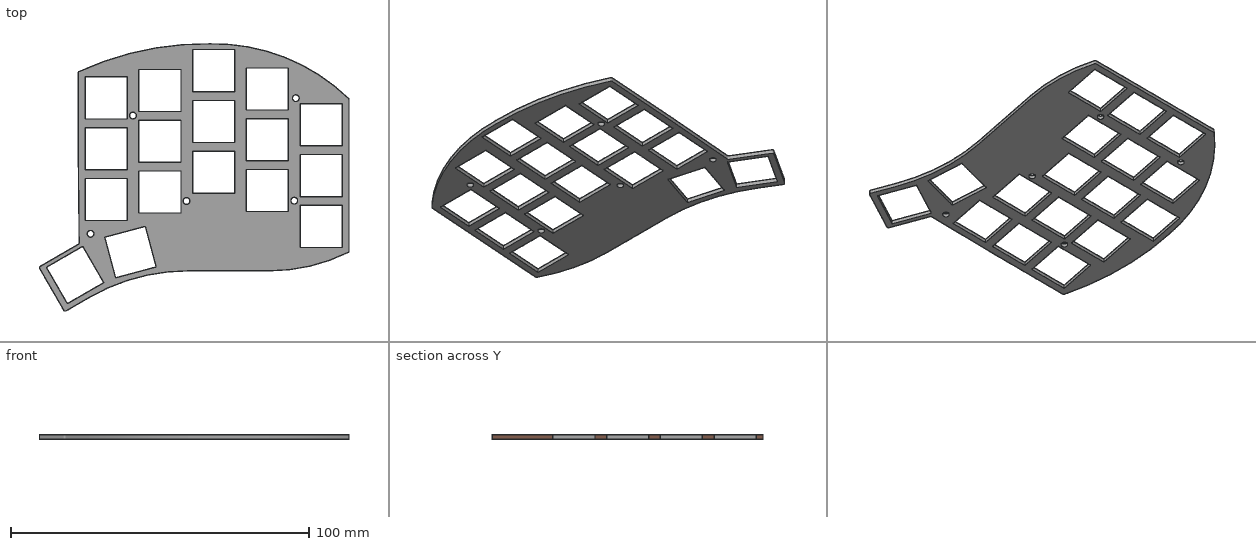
import cadquery as cq
import math

width = 103.8
depth = 89.6
thickness = 1.6

left_top = (13.0, 80.2)
left_bend = (13.0, 51.4)
left_bottom = (13.3, 22.6)
crown = (57.1, depth)
right_top_y = 71.2
right_bottom_y = 19.8
upper_left_radius = 101.2
upper_right_radius = 65.0

lower_flat_y = 13.5
lower_flat_start_x = 49.8
lower_flat_end_x = 77.0
lower_left_radius = 66.0
lower_right_radius = 59.3

thumb_tilt = 30.0
thumb_edge_length = 17.3
thumb_corner_radius = 0.6
small_corner_radius = 0.5

key_size = 14.0
key_pitch = 17.0
rows = (-1, 0, 1)
column_centers = [(22.4, 54.5), (40.4, 57.0), (58.4, 63.6), (76.4, 57.5), (94.4, 45.4)]
thumb_keys = [(11.9, 12.1, thumb_tilt), (30.5, 19.8, thumb_tilt / 2)]

screw_diameter = 2.2
screw_centers = [(17.1, 25.9), (31.3, 65.6), (49.3, 36.9), (85.4, 37.0), (85.9, 71.4)]


def arc_middle(start, end, radius):
    """Middle point of the minor arc that bulges to the left of start -> end."""
    dx = end[0] - start[0]
    dy = end[1] - start[1]
    chord = math.hypot(dx, dy)
    bulge = radius - math.sqrt(radius**2 - (chord / 2) ** 2)
    middle_x = (start[0] + end[0]) / 2 - dy / chord * bulge
    middle_y = (start[1] + end[1]) / 2 + dx / chord * bulge
    return (middle_x, middle_y)


def make_plate():
    tilt = math.radians(thumb_tilt)
    overhang = thumb_corner_radius * (math.sin(tilt) + math.cos(tilt) - 1)
    thumb_bottom = (thumb_edge_length * math.sin(tilt) - overhang, -overhang)
    thumb_left = (-overhang, thumb_edge_length * math.cos(tilt) - overhang)
    right_top = (width, right_top_y)
    right_bottom = (width, right_bottom_y)
    flat_start = (lower_flat_start_x, lower_flat_y)
    thumb_arc_end = (
        lower_flat_start_x - lower_left_radius * math.sin(tilt),
        lower_flat_y - lower_left_radius * (1 - math.cos(tilt)),
    )
    flat_end = (lower_flat_end_x, lower_flat_y)

    plate = (
        cq.Workplane("XY")
        .moveTo(*left_top)
        .threePointArc(arc_middle(left_top, crown, upper_left_radius), crown)
        .threePointArc(arc_middle(crown, right_top, upper_right_radius), right_top)
        .lineTo(*right_bottom)
        .threePointArc(arc_middle(right_bottom, flat_end, lower_right_radius), flat_end)
        .lineTo(*flat_start)
        .threePointArc(arc_middle(thumb_arc_end, flat_start, lower_left_radius), thumb_arc_end)
        .lineTo(*thumb_bottom)
        .lineTo(*thumb_left)
        .lineTo(*left_bottom)
        .lineTo(*left_bend)
        .close()
        .extrude(thickness)
    )
    for corner in (thumb_bottom, thumb_left):
        plate = round_corner(plate, corner, thumb_corner_radius)
    for corner in (left_top, left_bottom, right_top, right_bottom):
        plate = round_corner(plate, corner, small_corner_radius)
    return plate


def round_corner(plate, corner, radius):
    nearest = cq.selectors.NearestToPointSelector((*corner, thickness / 2))
    return plate.edges("|Z").edges(nearest).fillet(radius)


def key_cutter(x, y, tilt=0):
    key = cq.Workplane("XY").rect(key_size, key_size).extrude(thickness)
    return key.rotate((0, 0, 0), (0, 0, 1), tilt).translate((x, y, 0))


def cut_keys(plate):
    for x, y in column_centers:
        for row in rows:
            plate = plate.cut(key_cutter(x, y + row * key_pitch))
    for x, y, tilt in thumb_keys:
        plate = plate.cut(key_cutter(x, y, tilt))
    return plate


def cut_screw_holes(plate):
    holes = cq.Workplane("XY").pushPoints(screw_centers).circle(screw_diameter / 2).extrude(thickness)
    return plate.cut(holes)


result = cut_screw_holes(cut_keys(make_plate()))